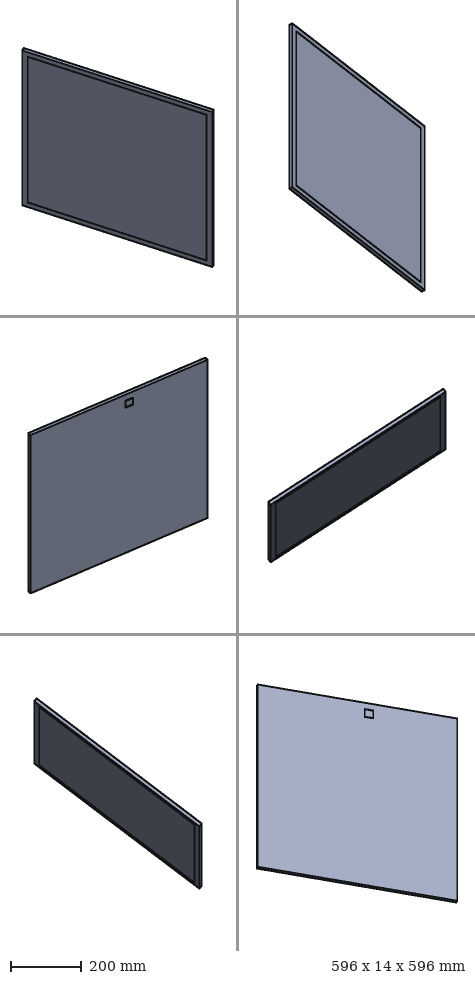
import cadquery as cq

panel_side = 596.0
overall_depth = 14.0
panel_depth = 11.5

border_width = 18.0
recess_depth = 0.5

boss_side = 25.0
boss_x = -33.5
boss_z = 263.5

boss_height = overall_depth - panel_depth
face_side = panel_side - 2 * border_width


def square_slab(side, front_y, depth):
    """Square slab centred on the Y axis, from front_y toward +Y."""
    return cq.Workplane("XY").box(side, depth, side).translate((0, front_y + depth / 2, 0))


def back_boss():
    """Square boss rising from the back of the panel toward +Y."""
    return (
        cq.Workplane("XZ", origin=(boss_x, panel_depth, boss_z))
        .rect(boss_side, boss_side)
        .extrude(-boss_height)
    )


panel = square_slab(panel_side, 0, panel_depth)
face_recess = square_slab(face_side, 0, recess_depth)

result = panel.cut(face_recess).union(back_boss())